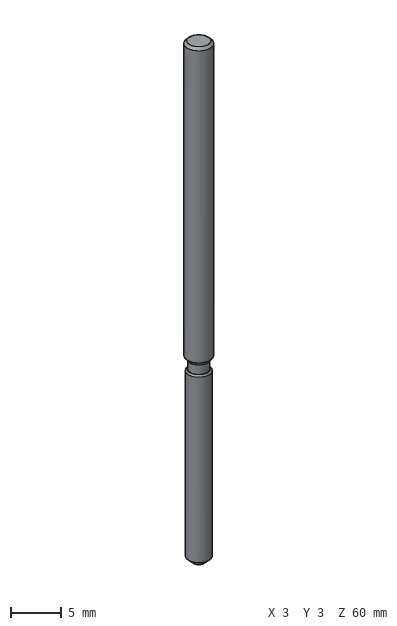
import cadquery as cq

total_length = 60.0
handle_diameter = 3.0
neck_diameter = 2.2
pin_diameter = 2.7
tip_diameter = 1.3

pin_length = 22.2
neck_length = 1.1
tip_height = 0.65
handle_taper_height = 0.5
handle_end_chamfer = 0.3
pin_end_chamfer = 0.2

handle_radius = handle_diameter / 2
neck_radius = neck_diameter / 2
pin_radius = pin_diameter / 2
tip_radius = tip_diameter / 2
neck_bottom = pin_length
neck_top = neck_bottom + neck_length
handle_bottom = neck_top + handle_taper_height


def revolve_profile(points):
    """Revolve a closed profile of (radius, height) points about the Z axis."""
    return cq.Workplane("XZ").polyline(points).close().revolve(360, (0, 0, 0), (0, 1, 0))


def make_handle():
    """Thick shaft with a chamfered top and a taper down to its neck."""
    return revolve_profile([
        (0, neck_bottom),
        (neck_radius, neck_bottom),
        (neck_radius, neck_top),
        (handle_radius, handle_bottom),
        (handle_radius, total_length - handle_end_chamfer),
        (handle_radius - handle_end_chamfer, total_length),
        (0, total_length),
    ])


def make_pin():
    """Thin shaft with a conical tip and a chamfered upper end that meets the neck."""
    return revolve_profile([
        (0, 0),
        (tip_radius, 0),
        (pin_radius, tip_height),
        (pin_radius, pin_length - pin_end_chamfer),
        (pin_radius - pin_end_chamfer, pin_length),
        (0, pin_length),
    ])


handle = make_handle()
pin = make_pin()

result = cq.Compound.makeCompound([handle.val(), pin.val()])